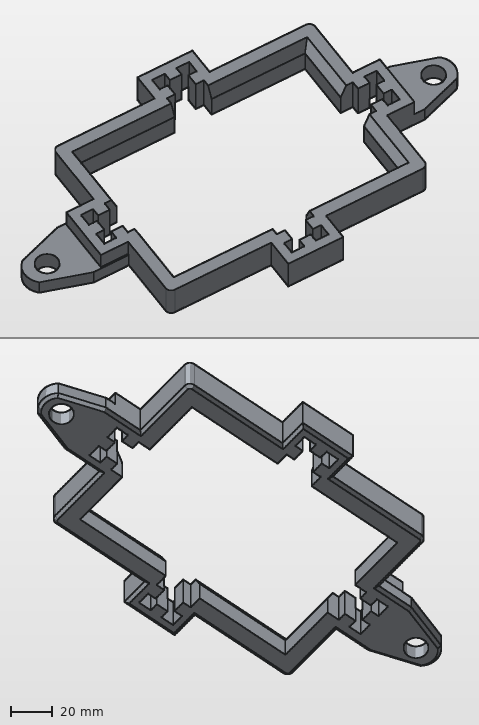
import cadquery as cq

height = 19.0
frame_x = 105.3
frame_y = 147.0
wall = 10.0
corner_radius = 3.2
bevel_width = 3.2
bevel_height = 7.0
foot_chamfer = 1.7
foot_angle = 45

boss_x_span = 136.2
boss_reach = (boss_x_span - frame_x) / 2
boss_width = 31.2
boss_wall = 5.0
rib_width = 6.5
rib_length = 4.6
side_rib_offset = 12.0

overall_y = 243.7
tab_height = 9.7
hole_y = 109.7
hole_diameter = 12.0
tip_half_width = 7.8
tip_drop = 3.5
front_tab_width = 32.7
front_tab_reach = 122.3
front_shoulder_y = 93.5
back_tab_reach = overall_y - front_tab_reach
back_shoulder_y = 94.8

overlap = wall
slot_width = boss_width - 2 * boss_wall


def block(width, y_start, y_end):
    """Full-height block centred on X, spanning y_start to y_end, standing on Z = 0."""
    return cq.Workplane("XY").center(0, (y_start + y_end) / 2).rect(width, y_end - y_start).extrude(height)


def chamfer_foot(solid):
    """Chamfer every edge around the bottom face."""
    return solid.faces("<Z").edges().chamfer(foot_chamfer)


def housing(half_side, angle):
    """Solid housing on the +Y side of the frame, turned about Z."""
    solid = chamfer_foot(block(boss_width, half_side - overlap, half_side + boss_reach))
    return solid.rotate((0, 0, 0), (0, 0, 1), angle)


def housing_slot(half_side, angle):
    """Open channel of a housing, less its end rib and two side ribs."""
    outer_end = half_side + boss_reach
    slot_end = outer_end - boss_wall
    slot = block(slot_width, half_side - 2 * wall, slot_end)
    slot = slot.cut(block(rib_width, slot_end - rib_length, slot_end))
    rib_start = outer_end - side_rib_offset - rib_width
    rib_x = (slot_width - rib_length) / 2
    for x in (-rib_x, rib_x):
        side_rib = block(rib_length, rib_start, rib_start + rib_width)
        slot = slot.cut(side_rib.translate((x, 0, 0)))
    return slot.rotate((0, 0, 0), (0, 0, 1), angle)


def tab_outline(width, shoulder_y, reach):
    """Tapered outline with a rounded tip towards +Y, at the top of the foot chamfer."""
    root_y = frame_y / 2 - overlap
    tip_y = reach - tip_drop
    return (
        cq.Workplane("XY", origin=(0, 0, foot_chamfer))
        .moveTo(-width / 2, root_y)
        .lineTo(width / 2, root_y)
        .lineTo(width / 2, shoulder_y)
        .lineTo(tip_half_width, tip_y)
        .threePointArc((0, reach), (-tip_half_width, tip_y))
        .lineTo(-width / 2, shoulder_y)
        .close()
    )


def tab(width, shoulder_y, reach, angle):
    """Tab with a chamfered foot, pointing to +Y before it is turned about Z."""
    plate = tab_outline(width, shoulder_y, reach).extrude(tab_height - foot_chamfer)
    foot = tab_outline(width, shoulder_y, reach).extrude(-foot_chamfer, taper=foot_angle)
    return plate.union(foot).rotate((0, 0, 0), (0, 0, 1), angle)


def opening():
    """Rectangular opening that widens towards the top."""
    open_x = frame_x - 2 * wall
    open_y = frame_y - 2 * wall
    straight = cq.Workplane("XY").rect(open_x, open_y).extrude(height)
    flare = (
        cq.Workplane("XY", origin=(0, 0, height - bevel_height))
        .rect(open_x, open_y)
        .workplane(offset=bevel_height)
        .rect(open_x + 2 * bevel_width, open_y + 2 * bevel_width)
        .loft(ruled=True)
    )
    return straight.union(flare)


housing_places = [(frame_y / 2, 0), (frame_x / 2, 90), (frame_y / 2, 180), (frame_x / 2, 270)]

frame = cq.Workplane("XY").rect(frame_x, frame_y).extrude(height).edges("|Z").fillet(corner_radius)
body = chamfer_foot(frame)
for half_side, angle in housing_places:
    body = body.union(housing(half_side, angle))
body = body.union(tab(boss_width, back_shoulder_y, back_tab_reach, 0))
body = body.union(tab(front_tab_width, front_shoulder_y, front_tab_reach, 180))

body = body.cut(opening())
for half_side, angle in housing_places:
    body = body.cut(housing_slot(half_side, angle))
holes = cq.Workplane("XY").pushPoints([(0, hole_y), (0, -hole_y)]).circle(hole_diameter / 2).extrude(tab_height)

result = body.cut(holes)